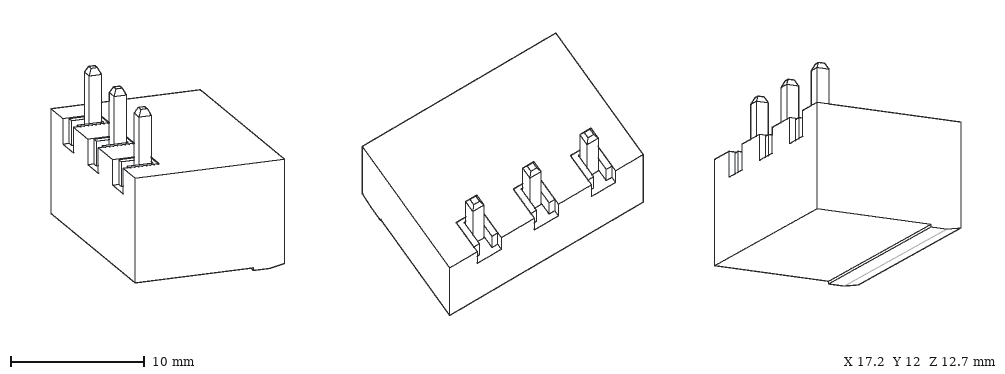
import cadquery as cq

body_length = 17.24
body_depth = 12.0
overall_height = 12.65
lip_drop = 0.2
pin_rise = 4.17
body_top = overall_height - lip_drop - pin_rise

lip_depth = 2.5
lip_ramp_run = 1.19
lip_ramp_rise = 0.24

pin_pitch = 5.09
pin_offsets = (-pin_pitch, 0, pin_pitch)
pin_width = 1.0
pin_front = 1.5
pin_tip_height = 0.5
pin_tip_width = 0.52

slot_width = 2.14
slot_depth = 2.9
slot_height = 2.02
slot_floor = body_top - slot_height
collar_front = 0.5
collar_top_gap = 0.07
collar_height = slot_height - collar_top_gap
channel_width = 1.12
channel_back = 2.6


def box_between(width, front, back, bottom, height):
    """Box centred on X, between two Y positions, standing on Z = bottom."""
    return (
        cq.Workplane("XY", origin=(0, front, bottom))
        .box(width, back - front, height, centered=(True, False, False))
    )


def make_body():
    """Side profile of the housing with its ramped lip, swept along X."""
    half_length = body_length / 2
    return (
        cq.Workplane("YZ", origin=(-half_length, 0, 0))
        .polyline([
            (0, 0),
            (0, body_top),
            (body_depth, body_top),
            (body_depth, lip_ramp_rise - lip_drop),
            (body_depth - lip_ramp_run, -lip_drop),
            (body_depth - lip_depth, -lip_drop),
            (body_depth - lip_depth, 0),
        ])
        .close()
        .extrude(body_length)
    )


def make_slot():
    """Space cut into the housing for one pin, with the collar left standing."""
    slot = box_between(slot_width, 0, slot_depth, slot_floor, slot_height)
    collar = box_between(slot_width, collar_front, slot_depth, slot_floor, collar_height)
    channel = box_between(channel_width, collar_front, channel_back, slot_floor, collar_height)
    return slot.cut(collar.cut(channel))


def make_pin():
    """Square pin rising from the slot floor, with a pyramidal tip."""
    pin_centre = pin_front + pin_width / 2
    shank_top = body_top + pin_rise - pin_tip_height
    shank = box_between(pin_width, pin_front, pin_front + pin_width, slot_floor, shank_top - slot_floor)
    tip = (
        cq.Workplane("XY", origin=(0, pin_centre, shank_top))
        .rect(pin_width, pin_width)
        .workplane(offset=pin_tip_height)
        .rect(pin_tip_width, pin_tip_width)
        .loft(ruled=True)
    )
    return shank.union(tip)


result = make_body()
for offset in pin_offsets:
    result = result.cut(make_slot().translate((offset, 0, 0)))
    result = result.union(make_pin().translate((offset, 0, 0)))